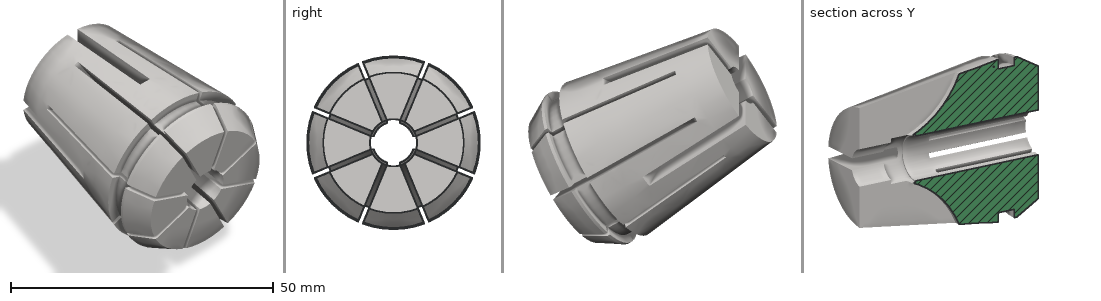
import cadquery as cq
import math

LENGTH = 40.0
TAPER_ANGLE = 8.0
TAPER_LENGTH = 30.9
TAPER_LARGE_DIAMETER = 33.0
TAPER_LARGE_RADIUS = TAPER_LARGE_DIAMETER / 2
GROOVE_WIDTH = 3.5
GROOVE_RADIUS = 14.55
HEAD_RADIUS = 16.25
HEAD_LAND_WIDTH = 0.65
NOSE_ANGLE = 30.0

GUIDE_BORE_RADIUS = 3.95
GUIDE_BORE_LENGTH = 7.2
RELIEF_RADIUS = 4.75
RELIEF_WIDTH = 4.8
MAIN_BORE_RADIUS = 4.5

WIDE_SLOT_COUNT = 4
WIDE_SLOT_WIDTH = 2.4
WIDE_SLOT_END_X = 21.9

SLIT_COUNT = 8
SLIT_WIDTH = 0.95
SLIT_END_X = 7.25

SAW_RADIUS = 19.45
SAW_FLOOR_RADIUS = 3.45
CUT_MARGIN = 4.0


def taper_radius(x):
    """Outer radius of the long taper at a distance x from the narrow end."""
    return TAPER_LARGE_RADIUS - (TAPER_LENGTH - x) * math.tan(math.radians(TAPER_ANGLE))


def revolve_about_x(points):
    """Turn an (x, radius) outline about the X axis."""
    return cq.Workplane("XY").polyline(points).close().revolve(360, (0, 0, 0), (1, 0, 0))


def make_body():
    """Solid of revolution with the taper, groove, conical nose and stepped bore."""
    groove_end = TAPER_LENGTH + GROOVE_WIDTH
    nose_start = groove_end + HEAD_LAND_WIDTH
    nose_radius = HEAD_RADIUS - (LENGTH - nose_start) * math.tan(math.radians(NOSE_ANGLE))
    relief_end = GUIDE_BORE_LENGTH + RELIEF_WIDTH
    return revolve_about_x([
        (0, GUIDE_BORE_RADIUS),
        (0, taper_radius(0)),
        (TAPER_LENGTH, TAPER_LARGE_RADIUS),
        (TAPER_LENGTH, GROOVE_RADIUS),
        (groove_end, GROOVE_RADIUS),
        (groove_end, HEAD_RADIUS),
        (nose_start, HEAD_RADIUS),
        (LENGTH, nose_radius),
        (LENGTH, MAIN_BORE_RADIUS),
        (relief_end, MAIN_BORE_RADIUS),
        (relief_end, RELIEF_RADIUS),
        (GUIDE_BORE_LENGTH, RELIEF_RADIUS),
        (GUIDE_BORE_LENGTH, GUIDE_BORE_RADIUS),
    ])


def make_saw_cut(end_x, width, direction):
    """Radial cut along +Y whose floor runs out on a saw arc.

    The arc leaves the taper surface at end_x. direction is the sense along X
    of the open side of the cut.
    """
    center_y = SAW_FLOOR_RADIUS + SAW_RADIUS
    rise = center_y - taper_radius(end_x)
    center_x = end_x + direction * math.sqrt(SAW_RADIUS**2 - rise**2)

    disc = cq.Workplane("XY").center(center_x, center_y).circle(SAW_RADIUS)
    cut = disc.extrude(width / 2, both=True)

    open_x = LENGTH + CUT_MARGIN if direction > 0 else -CUT_MARGIN
    channel = (
        cq.Workplane("XY")
        .moveTo(center_x, SAW_FLOOR_RADIUS)
        .lineTo(open_x, SAW_FLOOR_RADIUS)
        .lineTo(open_x, center_y)
        .lineTo(center_x, center_y)
        .close()
        .extrude(width / 2, both=True)
    )
    return cut.union(channel)


def cut_around_axis(body, cutter, count, first_angle):
    """Subtract count equally spaced copies of cutter about the X axis."""
    for index in range(count):
        angle = first_angle + index * 360 / count
        body = body.cut(cutter.rotate((0, 0, 0), (1, 0, 0), angle))
    return body


result = make_body()

wide_slot = make_saw_cut(WIDE_SLOT_END_X, WIDE_SLOT_WIDTH, -1)
result = cut_around_axis(result, wide_slot, WIDE_SLOT_COUNT, 0)

slit = make_saw_cut(SLIT_END_X, SLIT_WIDTH, 1)
result = cut_around_axis(result, slit, SLIT_COUNT, 180 / SLIT_COUNT)